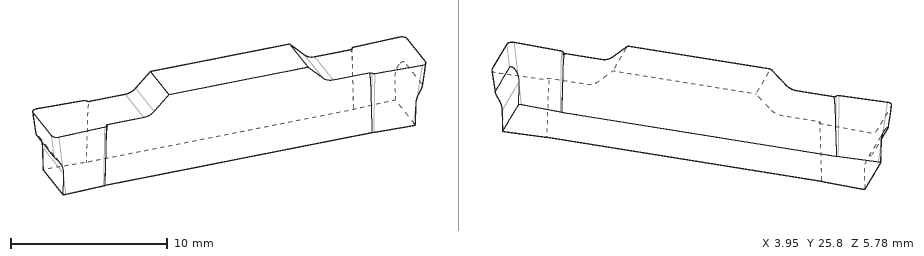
import cadquery as cq
import math

length = 25.8
half_length = length / 2
height = 5.78

body_width = 3.22
shelf_height = 4.46
ridge_half_length = 4.8
ramp_angle = 45.0
ramp_fillet = 1.0
body_half_length = 11.6
ramp_foot = ridge_half_length + (height - shelf_height) / math.tan(math.radians(ramp_angle))

front_half_width = 1.99
back_width = 3.7
back_half_width = back_width / 2
root_half_width = body_width / 2
head_start = 9.31
step_length = 0.3
step_bulge = 0.035
corner_radius = 0.35
side_relief = 0.2
front_relief = shelf_height * math.tan(math.radians(7.0))

heel_y = 12.15
heel_height = 1.63
heel_radius = 1.55


def make_body():
    profile = (
        cq.Workplane("YZ")
        .polyline([
            (-body_half_length, 0),
            (body_half_length, 0),
            (body_half_length, shelf_height),
            (ramp_foot, shelf_height),
            (ridge_half_length, height),
            (-ridge_half_length, height),
            (-ramp_foot, shelf_height),
            (-body_half_length, shelf_height),
        ])
        .close()
    )
    body = profile.extrude(body_width / 2, both=True)
    margin = 0.25
    feet = cq.selectors.BoxSelector(
        (-body_width, -ramp_foot - margin, shelf_height - margin),
        (body_width, ramp_foot + margin, shelf_height + margin),
    )
    return body.edges("|X").edges(feet).fillet(ramp_fillet)


def head_plan(z, side_inset, front_inset):
    """Closed head outline at height z, inset from the shelf outline."""
    front_y = half_length - front_inset
    front_x = front_half_width - side_inset
    back_x = back_half_width - side_inset
    root_x = root_half_width - side_inset
    middle_x = (back_x + root_x) / 2
    middle_y = head_start - step_length / 2
    root_y = head_start - step_length
    return (
        cq.Workplane("XY", origin=(0, 0, z))
        .moveTo(-front_x, front_y)
        .lineTo(front_x, front_y)
        .lineTo(back_x, head_start)
        .sagittaArc((middle_x, middle_y), step_bulge)
        .sagittaArc((root_x, root_y), -step_bulge)
        .lineTo(-root_x, root_y)
        .sagittaArc((-middle_x, middle_y), -step_bulge)
        .sagittaArc((-back_x, head_start), step_bulge)
        .close()
        .val()
    )


def make_heel_cut():
    """Space in front of the heel: a vertical face that curves out below the cutting edge."""
    outer_y = heel_y + heel_radius
    arc_middle = (
        outer_y - heel_radius * math.cos(math.radians(45)),
        heel_height + heel_radius * math.sin(math.radians(45)),
    )
    return (
        cq.Workplane("YZ")
        .moveTo(heel_y, 0)
        .lineTo(heel_y, heel_height)
        .threePointArc(arc_middle, (outer_y, heel_height + heel_radius))
        .lineTo(outer_y, 0)
        .close()
        .extrude(2 * front_half_width, both=True)
    )


def make_head():
    base_plan = head_plan(0, side_relief, front_relief)
    shelf_plan = head_plan(shelf_height, 0, 0)
    head = cq.Workplane(cq.Solid.makeLoft([base_plan, shelf_plan], True))
    front_corners = head.faces(">Y").edges("not |X")
    head = front_corners.fillet(corner_radius)
    return head.cut(make_heel_cut())


head = make_head()
result = make_body().union(head).union(head.mirror("XZ"))